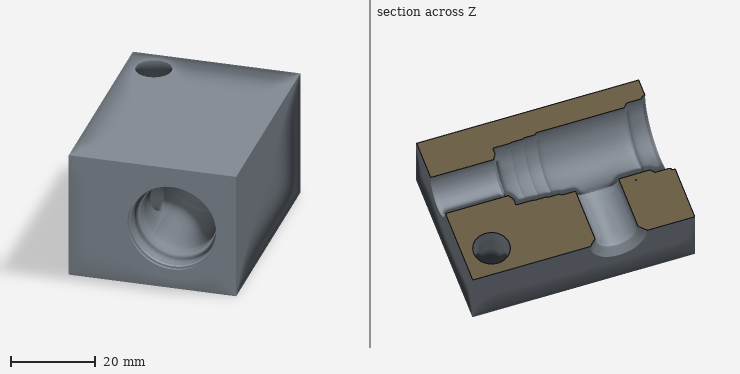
import cadquery as cq
import math

width = 41.15
length = 55.6
height = 31.75
mid_height = height / 2

cavity_x = 25.4
spotface_radius = 10.95
spotface_depth = 0.85
mouth_radius = 10.55
seat_radius = 10.35
seat_start = 1.35
seat_end = 4.9
guide_radius = 9.3
guide_start = 5.8
guide_end = 27.8
land_radius = 8.85
land_end = 31.1
collar_radius = 8.6
collar_end = 34.45
bore_radius = 8.45
cavity_depth = 38.9
step_half_angle = 45.0

floor_cone_radius = 6.8
floor_cone_half_angle = 59.0
port_radius = 5.35

side_port_y = 19.0
side_countersink_radius = 7.1
side_countersink_half_angle = 45.0

mounting_inset = 7.15
mounting_radius = 4.4


def cone_depth(large_radius, small_radius, half_angle):
    """Axial length of a cone between two radii."""
    return (large_radius - small_radius) / math.tan(math.radians(half_angle))


def make_block():
    """Plain block with its front left lower corner at the origin."""
    return cq.Workplane("XY").box(width, length, height, centered=False)


def make_cavity():
    """Stepped cavity and rear hole, revolved around an axis parallel to Y."""
    land_start = guide_end + cone_depth(guide_radius, land_radius, step_half_angle)
    collar_start = land_end + cone_depth(land_radius, collar_radius, step_half_angle)
    bore_start = collar_end + cone_depth(collar_radius, bore_radius, step_half_angle)
    floor_cone_end = cavity_depth + cone_depth(floor_cone_radius, port_radius, floor_cone_half_angle)
    profile = [
        (0, 0),
        (spotface_radius, 0),
        (spotface_radius, spotface_depth),
        (mouth_radius, spotface_depth),
        (seat_radius, seat_start),
        (seat_radius, seat_end),
        (guide_radius, guide_start),
        (guide_radius, guide_end),
        (land_radius, land_start),
        (land_radius, land_end),
        (collar_radius, collar_start),
        (collar_radius, collar_end),
        (bore_radius, bore_start),
        (bore_radius, cavity_depth),
        (floor_cone_radius, cavity_depth),
        (port_radius, floor_cone_end),
        (port_radius, length),
        (0, length),
    ]
    cavity = cq.Workplane("XY").polyline(profile).close().revolve(360, (0, 0, 0), (0, 1, 0))
    return cavity.translate((cavity_x, 0, mid_height))


def make_side_port():
    """Countersunk hole from the -X face to the cavity axis."""
    countersink_depth = cone_depth(side_countersink_radius, port_radius, side_countersink_half_angle)
    profile = [
        (0, 0),
        (0, side_countersink_radius),
        (countersink_depth, port_radius),
        (cavity_x, port_radius),
        (cavity_x, 0),
    ]
    port = cq.Workplane("XY").polyline(profile).close().revolve(360, (0, 0, 0), (1, 0, 0))
    return port.translate((0, side_port_y, mid_height))


def make_mounting_hole():
    """Vertical hole through the full height of the block."""
    hole = cq.Workplane("XY").circle(mounting_radius).extrude(height)
    return hole.translate((mounting_inset, length - mounting_inset, 0))


result = make_block().cut(make_cavity()).cut(make_side_port()).cut(make_mounting_hole())